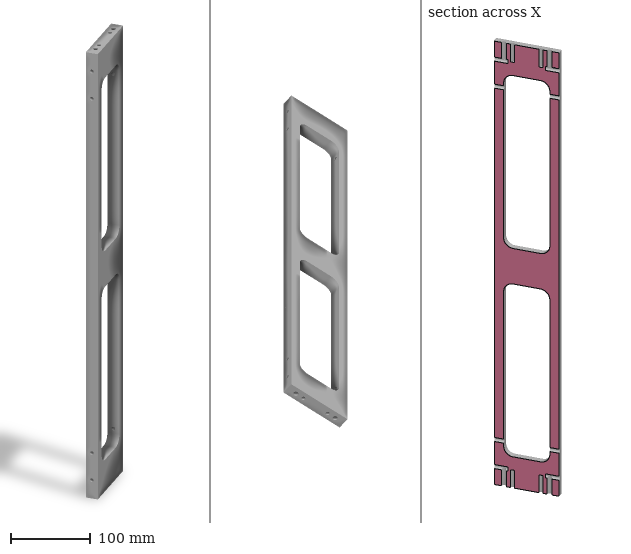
import cadquery as cq

thickness = 16.0
width = 89.0
height = 622.0

window_width = 62.0
end_rail = 44.0
middle_rail = 50.5
corner_radius = 12.5
window_height = (height - 2 * end_rail - middle_rail) / 2
window_offset = (middle_rail + window_height) / 2

edge_hole_diameter = 5.0
blind_hole_inset = 25.5
through_hole_inset = 63.5
edge_hole_depth = 18.5

outer_end_hole_diameter = 6.0
outer_end_hole_offset = 31.0
inner_end_hole_diameter = 5.0
inner_end_hole_offset = 19.0
end_hole_depth = 25.0


def drill(start, direction, diameter, depth):
    """Return a round cutter running from start along direction."""
    cutter = cq.Solid.makeCylinder(diameter / 2, depth, cq.Vector(*start), cq.Vector(*direction))
    return cq.Workplane(cutter)


result = cq.Workplane("XY").box(thickness, width, height)

windows = (
    cq.Workplane("YZ")
    .pushPoints([(0, -window_offset), (0, window_offset)])
    .rect(window_width, window_height)
    .extrude(thickness, both=True)
    .edges("|X")
    .fillet(corner_radius)
)
result = result.cut(windows)

for end in (-1, 1):
    through_z = end * (height / 2 - through_hole_inset)
    result = result.cut(drill((0, -width / 2, through_z), (0, 1, 0), edge_hole_diameter, width))
    blind_z = end * (height / 2 - blind_hole_inset)
    for side in (-1, 1):
        start = (0, side * width / 2, blind_z)
        result = result.cut(drill(start, (0, -side, 0), edge_hole_diameter, edge_hole_depth))

end_holes = [
    (outer_end_hole_offset, outer_end_hole_diameter),
    (inner_end_hole_offset, inner_end_hole_diameter),
]
for end in (-1, 1):
    for side in (-1, 1):
        for offset, diameter in end_holes:
            start = (0, side * offset, end * height / 2)
            result = result.cut(drill(start, (0, 0, -end), diameter, end_hole_depth))